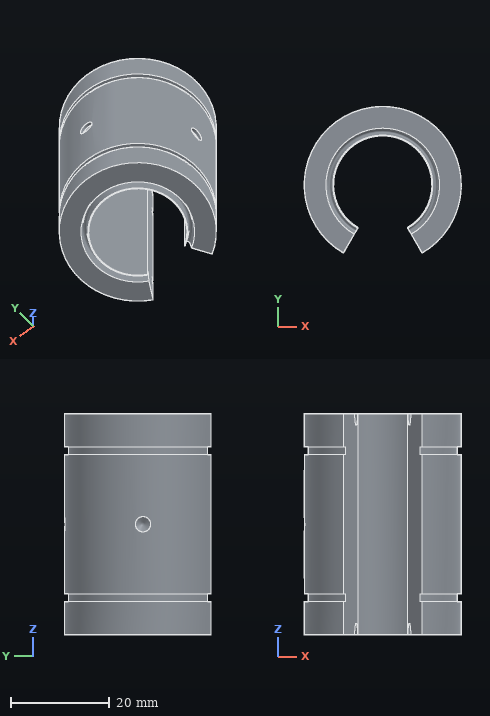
import cadquery as cq
import math

length = 45.0
outer_radius = 32.0 / 2
bore_radius = 10.0
gap_angle = 60.0

ring_groove_offset = 6.75
ring_groove_width = 1.58
ring_groove_depth = 0.8

lip_thickness = 0.2
seal_groove_outer_radius = 11.55
seal_groove_depth = 2.3
seal_groove_floor_radius = 0.35
seal_groove_floor_center = 10.8

dimple_diameter = 3.1
dimple_point_angle = 120.0
dimple_wall_depth = 0.8
dimple_turns = (0, -90)

half_length = length / 2


def ring(inner, outer, bottom, height):
    return (
        cq.Workplane("XY")
        .workplane(offset=bottom)
        .circle(outer)
        .circle(inner)
        .extrude(height)
    )


def seal_groove():
    """Ring-shaped cutter with a round floor, opening at the top face."""
    arc_z = half_length - seal_groove_depth + seal_groove_floor_radius
    floor_z = half_length - seal_groove_depth
    return (
        cq.Workplane("XZ")
        .moveTo(bore_radius + lip_thickness, half_length)
        .lineTo(seal_groove_floor_center - seal_groove_floor_radius, arc_z)
        .threePointArc(
            (seal_groove_floor_center, floor_z),
            (seal_groove_floor_center + seal_groove_floor_radius, arc_z),
        )
        .lineTo(seal_groove_outer_radius, half_length)
        .close()
        .revolve(360, (0, 0, 0), (0, 1, 0))
    )


def gap_wedge():
    """Wedge from the axis toward -Y, bounded by the radial gap faces."""
    reach = 2 * outer_radius
    half_width = reach * math.tan(math.radians(gap_angle / 2))
    return (
        cq.Workplane("XY")
        .workplane(offset=-half_length)
        .polyline([(0, 0), (half_width, -reach), (-half_width, -reach)])
        .close()
        .extrude(length)
    )


def dimple(turn):
    """Short blind drilling with a conical end, on the -X side before turning about Z."""
    radius = dimple_diameter / 2
    cone_start = -outer_radius + dimple_wall_depth
    cone_depth = radius / math.tan(math.radians(dimple_point_angle / 2))
    return (
        cq.Workplane("XY")
        .polyline([
            (-outer_radius, 0),
            (-outer_radius, radius),
            (cone_start, radius),
            (cone_start + cone_depth, 0),
        ])
        .close()
        .revolve(360, (0, 0, 0), (1, 0, 0))
        .rotate((0, 0, 0), (0, 0, 1), turn)
    )


sleeve = ring(bore_radius, outer_radius, -half_length, length)

lower_groove = ring(
    outer_radius - ring_groove_depth,
    outer_radius + ring_groove_depth,
    -half_length + ring_groove_offset,
    ring_groove_width,
)
for groove in (lower_groove, seal_groove()):
    sleeve = sleeve.cut(groove).cut(groove.mirror("XY"))

for turn in dimple_turns:
    sleeve = sleeve.cut(dimple(turn))

result = sleeve.cut(gap_wedge())